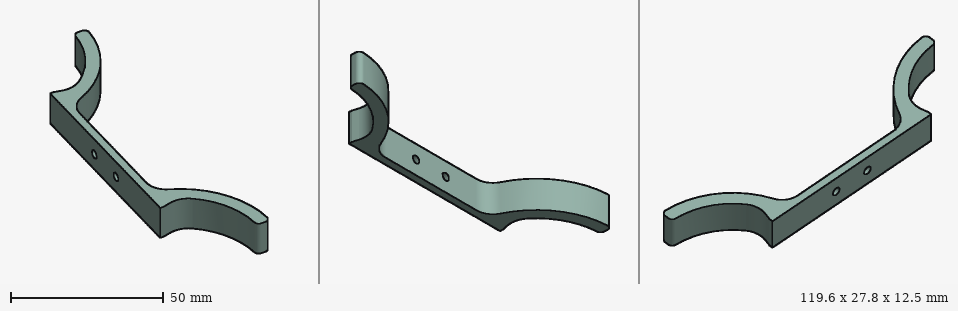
import cadquery as cq
import math

length = 119.6
depth = 27.9
height = 12.5

base_length = 71.8
base_thickness = 3.0
end_height = 1.4
flank_angle = 14.5

outer_radius = 34.2
arm_thickness = 5.0
inner_radius = outer_radius - arm_thickness
arc_center_x = length / 2
arc_center_y = depth - outer_radius

tip_fillet = 1.8
flank_fillet = 8.9
bar_fillet = 7.5

hole_diameter = 3.0
hole_spacing = 14.1


def point_on_arc(radius, angle):
    """Point on a right-arm arc, with the angle measured from the -X direction."""
    return (
        arc_center_x - radius * math.cos(angle),
        arc_center_y + radius * math.sin(angle),
    )


def flank_meets_inner_arc():
    """Angle on the inner arc where the leaning flank reaches it."""
    lean = math.radians(flank_angle)
    from_center_x = arc_center_x - base_length / 2
    from_center_y = arc_center_y - end_height
    distance = from_center_x * math.cos(lean) + from_center_y * math.sin(lean)
    return math.acos(distance / inner_radius) - lean


def make_half():
    """Right half of the bracket, from the middle plane to the arm tip."""
    bar_angle = math.asin((base_thickness - arc_center_y) / outer_radius)
    flank_arc_angle = flank_meets_inner_arc()
    tip_angle = math.pi / 2

    bar_corner = point_on_arc(outer_radius, bar_angle)
    flank_corner = point_on_arc(inner_radius, flank_arc_angle)
    outer_tip = point_on_arc(outer_radius, tip_angle)
    inner_tip = point_on_arc(inner_radius, tip_angle)
    outer_middle = point_on_arc(outer_radius, (bar_angle + tip_angle) / 2)
    inner_middle = point_on_arc(inner_radius, (flank_arc_angle + tip_angle) / 2)

    half = (
        cq.Workplane("XY")
        .workplane(offset=-height / 2)
        .lineTo(base_length / 2, 0)
        .lineTo(base_length / 2, end_height)
        .lineTo(*flank_corner)
        .threePointArc(inner_middle, inner_tip)
        .lineTo(*outer_tip)
        .threePointArc(outer_middle, bar_corner)
        .lineTo(0, base_thickness)
        .close()
        .extrude(height)
    )

    def round_corner(body, corner, radius):
        nearest = cq.selectors.NearestToPointSelector((*corner, 0))
        return body.edges("|Z").edges(nearest).fillet(radius)

    half = round_corner(half, flank_corner, flank_fillet)
    half = round_corner(half, bar_corner, bar_fillet)
    half = round_corner(half, outer_tip, tip_fillet)
    return round_corner(half, inner_tip, tip_fillet)


def make_holes():
    """Cylinders along Y that cut the two screw holes."""
    return (
        cq.Workplane("XZ")
        .pushPoints([(-hole_spacing / 2, 0), (hole_spacing / 2, 0)])
        .circle(hole_diameter / 2)
        .extrude(-base_thickness)
    )


right_half = make_half()
bracket = right_half.union(right_half.mirror("YZ")).clean()
result = bracket.cut(make_holes())